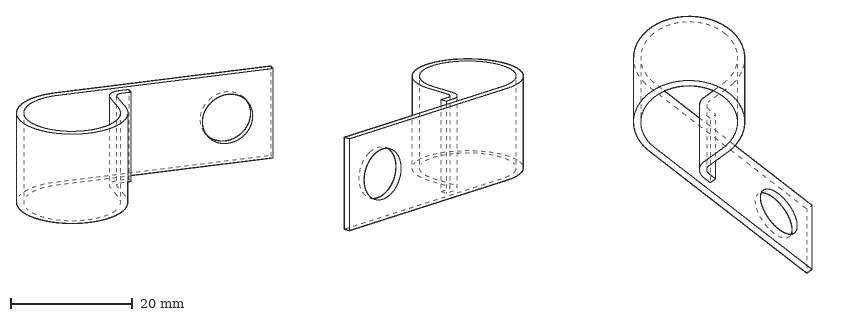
import cadquery as cq
import math

length = 46.45
width = 15.9
thickness = 1.2
loop_outer_radius = 9.15
bend_inner_radius = 1.25
lip_gap = 1.2
lip_end_y = 12.0
hole_diameter = 8.7
hole_end_distance = 7.85

loop_inner_radius = loop_outer_radius - thickness
leg_end_y = length - loop_outer_radius
bend_outer_radius = bend_inner_radius + thickness
lip_left_x = -loop_inner_radius + lip_gap
lip_right_x = lip_left_x + thickness
bend_x = lip_left_x + bend_outer_radius
bend_y = loop_inner_radius + bend_outer_radius


def on_circle(center_x, center_y, radius, angle):
    """Point on a circle at an angle in degrees from +X."""
    turn = math.radians(angle)
    return (center_x + radius * math.cos(turn), center_y + radius * math.sin(turn))


def make_strap():
    """Flat leg, three-quarter loop and turned-up lip, centred on Z = 0."""
    loop_middle = -45
    bend_middle = 225
    return (
        cq.Workplane("XY")
        .workplane(offset=-width / 2)
        .moveTo(-loop_outer_radius, leg_end_y)
        .lineTo(-loop_outer_radius, 0)
        .threePointArc(on_circle(0, 0, loop_outer_radius, loop_middle), (0, loop_outer_radius))
        .lineTo(bend_x, loop_outer_radius)
        .threePointArc(on_circle(bend_x, bend_y, bend_inner_radius, bend_middle), (lip_right_x, bend_y))
        .lineTo(lip_right_x, lip_end_y)
        .lineTo(lip_left_x, lip_end_y)
        .lineTo(lip_left_x, bend_y)
        .threePointArc(on_circle(bend_x, bend_y, bend_outer_radius, bend_middle), (bend_x, loop_inner_radius))
        .lineTo(0, loop_inner_radius)
        .threePointArc(on_circle(0, 0, loop_inner_radius, loop_middle), (-loop_inner_radius, 0))
        .lineTo(-loop_inner_radius, leg_end_y)
        .close()
        .extrude(width)
    )


def make_hole_cutter():
    """Cylinder through the thickness of the leg only."""
    return (
        cq.Workplane("YZ")
        .workplane(offset=-loop_outer_radius)
        .center(leg_end_y - hole_end_distance, 0)
        .circle(hole_diameter / 2)
        .extrude(thickness)
    )


result = make_strap().cut(make_hole_cutter())